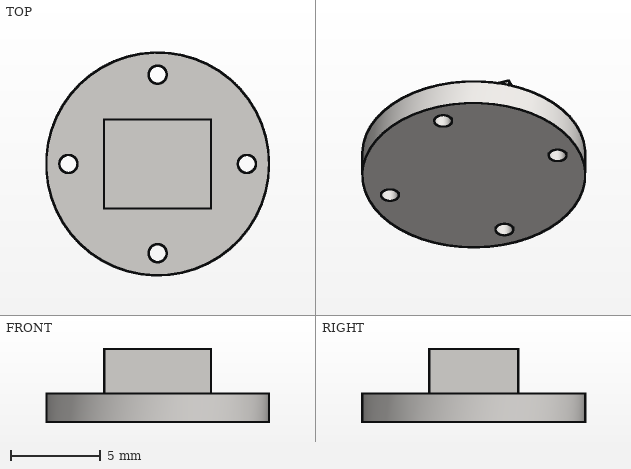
import cadquery as cq

flange_diameter = 12.5
flange_thickness = 1.6

block_length_x = 6.0
block_width_y = 5.0
block_height = 2.5

hole_diameter = 1.0
hole_circle_radius = 5.0
hole_count = 4


def make_flange():
    """Round disc standing on the XY plane."""
    return cq.Workplane("XY").circle(flange_diameter / 2).extrude(flange_thickness)


def make_block():
    """Rectangular block standing on the top face of the flange."""
    return (
        cq.Workplane("XY", origin=(0, 0, flange_thickness))
        .rect(block_length_x, block_width_y)
        .extrude(block_height)
    )


def make_mounting_holes():
    """Cylinders that pass through the full thickness of the flange."""
    return (
        cq.Workplane("XY")
        .polarArray(hole_circle_radius, 0, 360, hole_count)
        .circle(hole_diameter / 2)
        .extrude(flange_thickness)
    )


result = make_flange().union(make_block()).cut(make_mounting_holes())